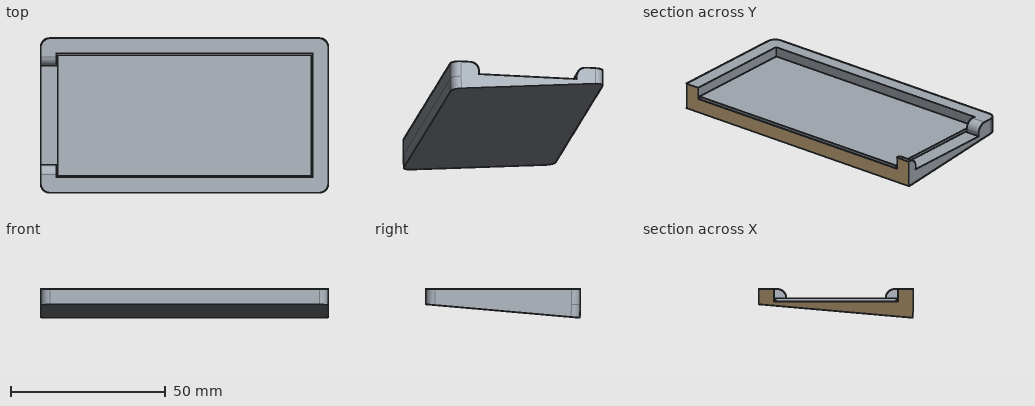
import cadquery as cq
import math

length = 92.9
width = 50.0
corner_radius = 3.0
slab_height = 5.0
tilt_angle = 5.0

rim_width = 5.0
pocket_depth = 4.0
panel_height = 1.0
groove_width = 0.5
pocket_length = length - 2 * rim_width
pocket_width = width - 2 * rim_width
panel_length = pocket_length - 2 * groove_width
panel_width = pocket_width - 2 * groove_width

notch_width = 32.0
notch_edge_radius = 3.0


def plan_outline():
    """Rounded rectangle of the whole part."""
    return cq.Sketch().rect(length, width).vertices().fillet(corner_radius)


def slab_underside():
    """Workplane carrying the plan outline at the bottom of the flat slab."""
    return cq.Workplane("XY", origin=(0, 0, -slab_height)).placeSketch(plan_outline())


def make_slab():
    """Flat upper body that holds the tray."""
    return slab_underside().extrude(slab_height)


def make_wedge():
    """Tilted base: the plan outline swung down about the slab's lower -Y edge."""
    hinge_y = -width / 2
    return slab_underside().revolve(tilt_angle, (1, hinge_y, 0), (0, hinge_y, 0))


def make_pocket():
    """Cutter for the tray, leaving the raised floor panel standing."""
    pocket = cq.Workplane("XY").rect(pocket_length, pocket_width).extrude(-pocket_depth)
    panel = (
        cq.Workplane("XY", origin=(0, 0, -pocket_depth))
        .rect(panel_length, panel_width)
        .extrude(panel_height)
    )
    return pocket.cut(panel)


def make_notch():
    """Cutter for the opening in the -X rim, flaring outwards at the top."""
    half_width = notch_width / 2
    radius = notch_edge_radius
    arc_offset = radius * (1 - math.cos(math.radians(45)))
    return (
        cq.Workplane("YZ", origin=(-length / 2, 0, 0))
        .moveTo(-half_width, -pocket_depth)
        .lineTo(half_width, -pocket_depth)
        .lineTo(half_width, -radius)
        .threePointArc((half_width + arc_offset, -arc_offset), (half_width + radius, 0))
        .lineTo(-half_width - radius, 0)
        .threePointArc((-half_width - arc_offset, -arc_offset), (-half_width, -radius))
        .close()
        .extrude(rim_width)
    )


body = make_slab().union(make_wedge())
result = body.cut(make_pocket()).cut(make_notch())